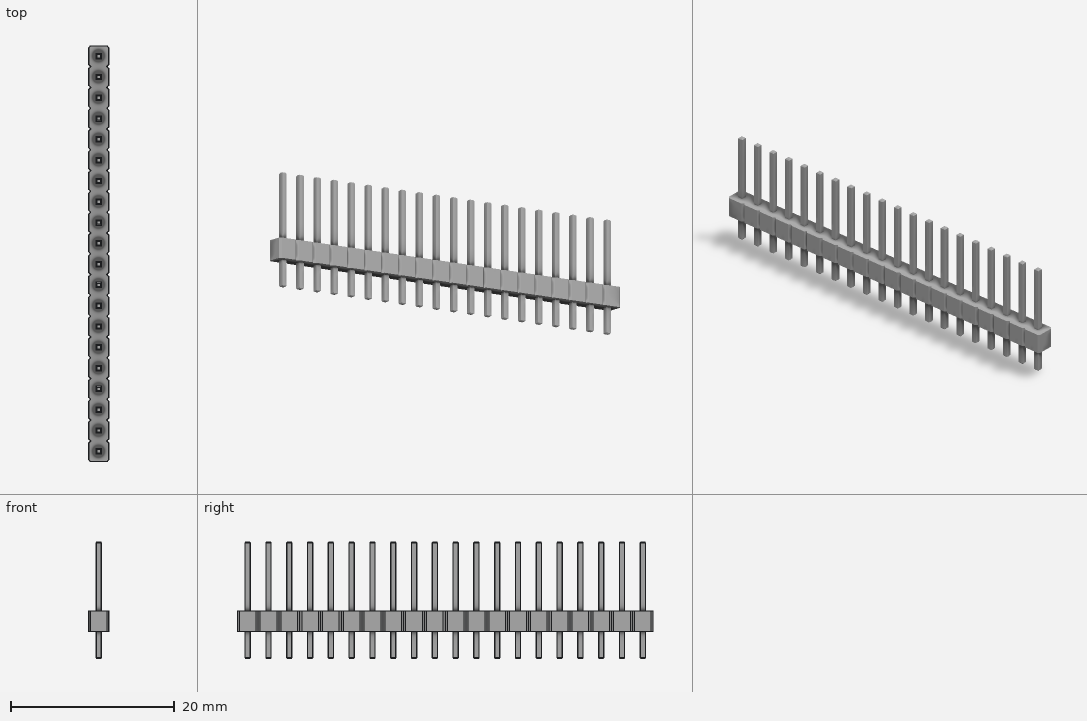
import cadquery as cq


pin_count = 20
row_length = 50.8
pitch = row_length / pin_count

housing_width = 2.5
housing_height = 2.55
corner_chamfer = 0.25

pin_side = 0.65
pin_length = 14.3
tail_length = 3.3
tip_chamfer = 0.125

pin_positions = [(0, (i - (pin_count - 1) / 2) * pitch) for i in range(pin_count)]


def housing_block(location):
    """One pitch of the housing, resting on Z = 0, with chamfered upright corners."""
    block = (
        cq.Workplane("XY")
        .box(housing_width, pitch, housing_height, centered=(True, True, False))
        .edges("|Z")
        .chamfer(corner_chamfer)
    )
    return block.val().located(location)


def pin(location):
    """A square pin passing through the housing, with both tips chamfered."""
    bar = (
        cq.Workplane("XY", origin=(0, 0, -tail_length))
        .box(pin_side, pin_side, pin_length, centered=(True, True, False))
        .faces("<Z or >Z")
        .edges()
        .chamfer(tip_chamfer)
    )
    return bar.val().located(location)


housing = cq.Workplane("XY").pushPoints(pin_positions).eachpoint(housing_block, combine=True)
pins = cq.Workplane("XY").pushPoints(pin_positions).eachpoint(pin)

result = housing.union(pins).clean()